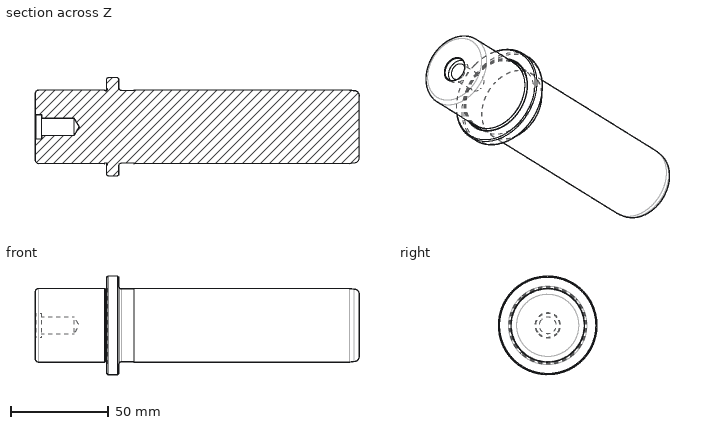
import cadquery as cq
import math

LENGTH = 167.0
SHAFT_DIAMETER = 38.0

PILOT_ROUND_LENGTH = 1.7
PILOT_FACE_DIAMETER = 34.0

COLLAR_DIAMETER = 51.0
COLLAR_START = 36.7
COLLAR_WIDTH = 6.3
COLLAR_CHAMFER = 0.7
SHAFT_SIDE_FILLET = 1.3

UNDERCUT_REACH = 1.0
UNDERCUT_RAMP = 0.5
UNDERCUT_DEPTH = 0.3

RELIEF_END = 51.0
RELIEF_DEPTH = 0.2

TIP_TAPER_LENGTH = 5.2
TIP_TAPER_DEPTH = 0.3
TIP_ROUND = 2.7

COUNTERBORE_DIAMETER = 12.4
COUNTERBORE_DEPTH = 3.3
COUNTERBORE_CHAMFER = 0.3
HOLE_DIAMETER = 8.7
HOLE_DEPTH = 20.0
DRILL_POINT_ANGLE = 118.0

SHAFT_RADIUS = SHAFT_DIAMETER / 2
COLLAR_RADIUS = COLLAR_DIAMETER / 2
COLLAR_END = COLLAR_START + COLLAR_WIDTH


def make_body():
    """Half section (axial position, radius) revolved about X."""
    face_radius = PILOT_FACE_DIAMETER / 2
    round_height = SHAFT_RADIUS - face_radius
    diagonal = math.sqrt(0.5)
    round_middle = (
        PILOT_ROUND_LENGTH * (1 - diagonal),
        face_radius + round_height * diagonal,
    )
    tip_radius = SHAFT_RADIUS - TIP_TAPER_DEPTH
    tip_round_start = LENGTH - TIP_ROUND
    tip_round_middle = (
        tip_round_start + TIP_ROUND * diagonal,
        tip_radius - TIP_ROUND * (1 - diagonal),
    )
    undercut_start = COLLAR_START - UNDERCUT_REACH
    undercut_floor = SHAFT_RADIUS - UNDERCUT_DEPTH
    undercut_wall = COLLAR_START + UNDERCUT_DEPTH
    undercut_round = UNDERCUT_REACH + UNDERCUT_DEPTH - UNDERCUT_RAMP
    undercut_middle = (
        undercut_wall - undercut_round * (1 - diagonal),
        undercut_floor + undercut_round * (1 - diagonal),
    )
    relief_radius = SHAFT_RADIUS - RELIEF_DEPTH
    shaft_fillet_middle = (
        COLLAR_END + SHAFT_SIDE_FILLET * (1 - diagonal),
        relief_radius + SHAFT_SIDE_FILLET * (1 - diagonal),
    )
    return (
        cq.Workplane("XY")
        .moveTo(0, 0)
        .lineTo(0, face_radius)
        .threePointArc(round_middle, (PILOT_ROUND_LENGTH, SHAFT_RADIUS))
        .lineTo(undercut_start, SHAFT_RADIUS)
        .lineTo(undercut_start + UNDERCUT_RAMP, undercut_floor)
        .threePointArc(undercut_middle, (undercut_wall, undercut_floor + undercut_round))
        .lineTo(COLLAR_START, SHAFT_RADIUS + UNDERCUT_REACH)
        .lineTo(COLLAR_START, COLLAR_RADIUS - COLLAR_CHAMFER)
        .lineTo(COLLAR_START + COLLAR_CHAMFER, COLLAR_RADIUS)
        .lineTo(COLLAR_END - COLLAR_CHAMFER, COLLAR_RADIUS)
        .lineTo(COLLAR_END, COLLAR_RADIUS - COLLAR_CHAMFER)
        .lineTo(COLLAR_END, relief_radius + SHAFT_SIDE_FILLET)
        .threePointArc(shaft_fillet_middle, (COLLAR_END + SHAFT_SIDE_FILLET, relief_radius))
        .lineTo(RELIEF_END, relief_radius)
        .lineTo(RELIEF_END, SHAFT_RADIUS)
        .lineTo(LENGTH - TIP_TAPER_LENGTH, SHAFT_RADIUS)
        .lineTo(tip_round_start, tip_radius)
        .threePointArc(tip_round_middle, (LENGTH, tip_radius - TIP_ROUND))
        .lineTo(LENGTH, 0)
        .close()
        .revolve(360, (0, 0, 0), (1, 0, 0))
    )


def make_centre_hole():
    """Chamfered counterbore and a blind drilled hole with a conical bottom."""
    counterbore_radius = COUNTERBORE_DIAMETER / 2
    hole_radius = HOLE_DIAMETER / 2
    point_length = hole_radius / math.tan(math.radians(DRILL_POINT_ANGLE / 2))
    outline = [
        (0, 0),
        (0, counterbore_radius + COUNTERBORE_CHAMFER),
        (COUNTERBORE_CHAMFER, counterbore_radius),
        (COUNTERBORE_DEPTH, counterbore_radius),
        (COUNTERBORE_DEPTH, hole_radius),
        (HOLE_DEPTH, hole_radius),
        (HOLE_DEPTH + point_length, 0),
    ]
    return cq.Workplane("XY").polyline(outline).close().revolve(360, (0, 0, 0), (1, 0, 0))


result = make_body().cut(make_centre_hole()).translate((-LENGTH / 2, 0, 0))